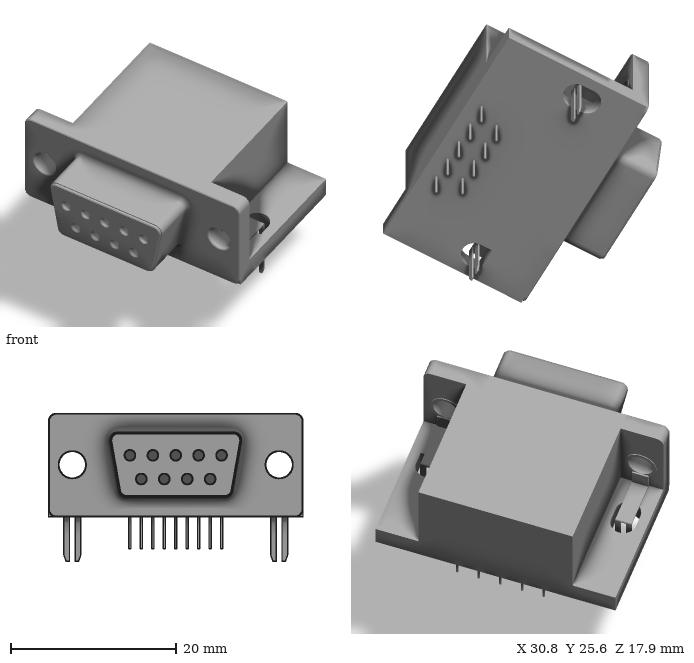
import cadquery as cq
import math


width = 30.8
height = 12.55
rear_y = 19.53
flange_back_y = 2.28
flange_corner_radius = 0.95
block_width = 19.8
floor_height = 2.6

plate_thickness = 0.35
plate_corner_radius = 0.95
plate_edge_chamfer = 0.108

nose_length = 6.07
insert_protrusion = 0.35
insert_inset = 0.12
insert_edge_chamfer = 0.108
shell_mid_z = 6.3
shell_height = 7.92
shell_width = 15.95
shell_corner_radius = 1.0
shell_side_angle = 10.0
shell_root_radius = 0.55

upper_count = 5
lower_count = 4
contact_pitch = 2.77
socket_upper_z = 7.45
socket_lower_z = 4.6
socket_diameter = 1.2
socket_depth = 3.7
socket_chamfer = 0.1
pin_rear_y = 17.75
pin_front_y = 14.88
pin_diameter = 0.3
pin_length = 3.88
pin_tip_chamfer = 0.077

mount_x = 12.5
mount_z = shell_mid_z
mount_hole_diameter = 3.2
mount_hole_chamfer = 0.1
washer_diameter = 4.0
washer_thickness = 0.1

slot_width = mount_hole_diameter
slot_rear_y = 8.53
slot_front_y = 6.9

bracket_width = 2.1
bracket_thickness = 0.22
bracket_rear_y = 8.62
bracket_top_z = 4.68
bracket_bend_chamfer = 0.1
tine_gap = 0.68
tine_length = 5.35
tine_taper_width = 0.28
tine_taper_length = 0.8

overlap = 0.3


def box(x_min, x_max, y_min, y_max, z_min, z_max):
    """Axis-aligned box between the given limits."""
    size = (x_max - x_min, y_max - y_min, z_max - z_min)
    return cq.Workplane("XY").box(*size, centered=False).translate((x_min, y_min, z_min))


def rod_along_y(x, z, diameter, y_start, y_end):
    """Round bar parallel to Y."""
    plane = cq.Workplane("XZ", origin=(x, y_start, z))
    return plane.circle(diameter / 2).extrude(y_start - y_end)


def chamfered_bore(x, z, diameter, chamfer, y_start, depth):
    """Cutter for a hole running toward +Y whose mouth at y_start is chamfered."""
    radius = diameter / 2
    profile = [
        (0, 0),
        (radius + chamfer, 0),
        (radius, chamfer),
        (radius, depth),
        (0, depth),
    ]
    cutter = cq.Workplane("XY").polyline(profile).close().revolve(360, (0, 0), (0, 1))
    return cutter.translate((x, y_start, z))


def make_housing():
    flange = box(-width / 2, width / 2, plate_thickness, flange_back_y, 0, height)
    flange = flange.edges("|Y and >Z").fillet(flange_corner_radius)
    block = box(-block_width / 2, block_width / 2, plate_thickness, rear_y, 0, height)
    floor = box(-width / 2, width / 2, plate_thickness, rear_y, 0, floor_height)
    return flange.union(block).union(floor)


def d_prism(corner_radius, y_start, y_end):
    """Prism with the D outline: the shell's corner centres joined up and grown by corner_radius."""
    half_height = shell_height / 2 - shell_corner_radius
    top_x = shell_width / 2 - shell_corner_radius
    bottom_x = top_x - 2 * half_height * math.tan(math.radians(shell_side_angle))
    corner_centres = [
        (-top_x, half_height),
        (top_x, half_height),
        (bottom_x, -half_height),
        (-bottom_x, -half_height),
    ]
    plane = cq.Workplane("XZ", origin=(0, y_start, shell_mid_z))
    return plane.polyline(corner_centres).close().offset2D(corner_radius).extrude(y_start - y_end)


def make_front():
    """Face plate with the shell and its insert standing on it."""
    plate = box(-width / 2, width / 2, 0, plate_thickness, 0, height)
    plate = plate.edges("|Y").fillet(plate_corner_radius)
    plate = plate.faces("<Y").edges().chamfer(plate_edge_chamfer)

    shell_front_y = insert_protrusion - nose_length
    front = plate.union(d_prism(shell_corner_radius, plate_thickness, shell_front_y))
    around_shell = cq.selectors.BoxSelector(
        (-shell_width / 2 - overlap, -overlap / 2, overlap),
        (shell_width / 2 + overlap, overlap / 2, height - overlap),
        boundingbox=True,
    )
    front = front.edges(around_shell).fillet(shell_root_radius)

    insert = d_prism(shell_corner_radius - insert_inset, 0, -nose_length)
    insert = insert.faces("<Y").edges().chamfer(insert_edge_chamfer)
    return front.union(insert)


def make_slot(x, front_is_round):
    """Cutter for a floor slot: round at the rear, round or square at the front."""
    half_width = slot_width / 2
    slot = box(x - half_width, x + half_width, slot_front_y, slot_rear_y, 0, floor_height)
    round_ends = [slot_rear_y]
    if front_is_round:
        round_ends.append(slot_front_y)
    for y in round_ends:
        slot = slot.union(cq.Workplane("XY", origin=(x, y, 0)).circle(half_width).extrude(floor_height))
    return slot


def make_bracket(x):
    """L-shaped strip behind the flange, ending in two tines that pass down through the slot."""
    left = x - bracket_width / 2
    right = x + bracket_width / 2
    strip_top_z = floor_height + bracket_thickness
    upright_back_y = flange_back_y + washer_thickness + bracket_thickness
    upright = box(left, right, flange_back_y, upright_back_y, floor_height, bracket_top_z)
    strip = box(left, right, flange_back_y, bracket_rear_y, floor_height, strip_top_z)
    tail = box(left, right, bracket_rear_y - bracket_thickness, bracket_rear_y, -tine_length, strip_top_z)
    gap = box(x - tine_gap / 2, x + tine_gap / 2, slot_front_y, bracket_rear_y, -tine_length, floor_height)
    tail = tail.cut(gap)
    for side in (-1, 1):
        outer_x = x + side * bracket_width / 2
        corner = [
            (outer_x, tine_taper_length - tine_length),
            (outer_x, -tine_length),
            (outer_x - side * tine_taper_width, -tine_length),
        ]
        plane = cq.Workplane("XZ", origin=(0, bracket_rear_y, 0))
        tail = tail.cut(plane.polyline(corner).close().extrude(bracket_thickness))
    bracket = strip.union(tail)
    bracket = bracket.edges("|X and >Y and >Z").chamfer(bracket_bend_chamfer)
    return bracket.union(upright)


def make_pin(x, y):
    pin = cq.Workplane("XY", origin=(x, y, overlap)).circle(pin_diameter / 2)
    return pin.extrude(-pin_length - overlap).faces("<Z").chamfer(pin_tip_chamfer)


def add_contact_row(body, count, socket_z, pin_y):
    """Cut one row of sockets in the insert and add the board pins of the same contacts."""
    for i in range(count):
        x = (i - (count - 1) / 2) * contact_pitch
        socket = chamfered_bore(x, socket_z, socket_diameter, socket_chamfer, -nose_length, socket_depth)
        body = body.cut(socket)
        body = body.union(make_pin(x, pin_y))
    return body


def add_mounting(body, x, front_is_round):
    """Washer, through hole, floor slot and board-lock bracket at one end of the flange."""
    washer_back_y = flange_back_y + washer_thickness
    body = body.union(rod_along_y(x, mount_z, washer_diameter, flange_back_y - overlap, washer_back_y))
    hole = chamfered_bore(x, mount_z, mount_hole_diameter, mount_hole_chamfer, 0, washer_back_y)
    body = body.cut(hole)
    body = body.cut(make_slot(x, front_is_round))
    return body.union(make_bracket(x))


result = make_housing().union(make_front())
result = add_mounting(result, -mount_x, front_is_round=True)
result = add_mounting(result, mount_x, front_is_round=False)
result = add_contact_row(result, upper_count, socket_upper_z, pin_rear_y)
result = add_contact_row(result, lower_count, socket_lower_z, pin_front_y)